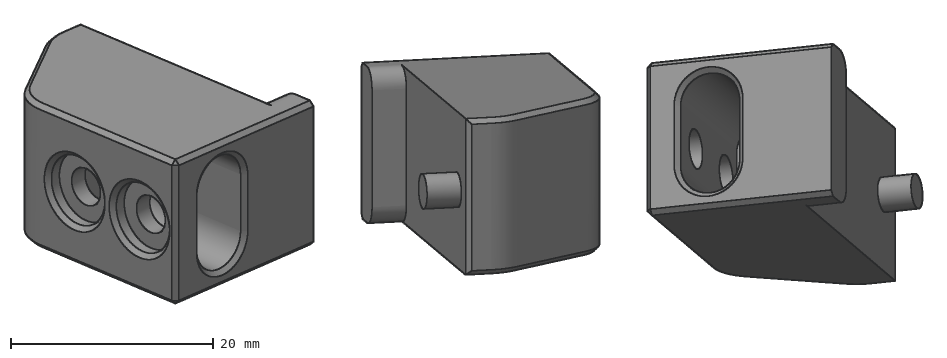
import cadquery as cq

length = 29.4
height = 15.8
body_depth = 16.0
stand_off = 3.5
total_depth = body_depth + stand_off
mid_height = height / 2

slope_run = 7.82
slope_rise = 12.0
outline_radius = 5.0
edge_chamfer = 0.5
chamfer_angle = 45

selection_margin = 0.3

tab_width = 4.45
tab_corner_radius = 2.0
peg_x = 4.0
peg_diameter = 3.5

screw_positions = (15.4, 24.4)
screw_hole_radius = 2.0
counterbore_radius = 3.7
counterbore_depth = 1.62

slot_width = 6.2
slot_height = 12.4
slot_front = 3.5
slot_end_x = screw_positions[0] - slot_width / 2
mouth_width = slot_width + 2 * edge_chamfer
mouth_height = slot_height + 2 * edge_chamfer
slot_y = slot_front + slot_width / 2


def make_tab():
    """Full-height tab behind the +X end, with its two inner corners rounded."""
    tab = cq.Workplane("XY").box(tab_width, stand_off, height, centered=False)
    tab = tab.translate((length - tab_width, body_depth, 0))
    return tab.edges("|Y and <X").fillet(tab_corner_radius)


def make_body():
    """Block with a sloped, rounded corner, the tab, and chamfered outer edges."""
    outline = [
        (0, body_depth),
        (0, slope_rise),
        (slope_run, 0),
        (length, 0),
        (length, body_depth),
    ]
    block = cq.Workplane("XY").polyline(outline).close().extrude(height)
    block = block.edges("|Z").edges("not(>X or >Y)").fillet(outline_radius)
    block = block.union(make_tab())

    front_zone = cq.selectors.BoxSelector(
        (-selection_margin, -selection_margin, -selection_margin),
        (length + selection_margin, body_depth - selection_margin, height + selection_margin),
    )
    rim_edges = block.faces("<Z or >Z").edges("not(|Y)").edges(front_zone)
    end_edges = block.faces("<X or >X").edges("not(>Y)")
    return rim_edges.add(end_edges).chamfer(edge_chamfer)


def make_peg():
    """Round peg on the back face near the -X end."""
    peg = cq.Workplane("XZ", origin=(peg_x, total_depth, mid_height)).circle(peg_diameter / 2)
    return peg.extrude(stand_off)


def make_slot():
    """Round-ended slot along X, with a chamfered mouth on the +X face."""
    slot = cq.Workplane("YZ", origin=(slot_end_x, slot_y, mid_height))
    slot = slot.slot2D(slot_height, slot_width, 90).extrude(length - slot_end_x)
    mouth = cq.Workplane("YZ", origin=(length, slot_y, mid_height))
    mouth = mouth.slot2D(mouth_height, mouth_width, 90)
    return slot.union(mouth.extrude(-edge_chamfer, taper=chamfer_angle))


def make_screw_hole(x):
    """Counterbored hole from the front face into the slot, with a chamfered rim."""
    rim_radius = counterbore_radius + edge_chamfer
    profile = [
        (0, 0),
        (rim_radius, 0),
        (counterbore_radius, edge_chamfer),
        (counterbore_radius, counterbore_depth),
        (screw_hole_radius, counterbore_depth),
        (screw_hole_radius, slot_y),
        (0, slot_y),
    ]
    hole = cq.Workplane("XY").polyline(profile).close().revolve(360, (0, 0), (0, 1))
    return hole.translate((x, 0, mid_height))


part = make_body().union(make_peg()).cut(make_slot())
for screw_x in screw_positions:
    part = part.cut(make_screw_hole(screw_x))
result = part.solids()